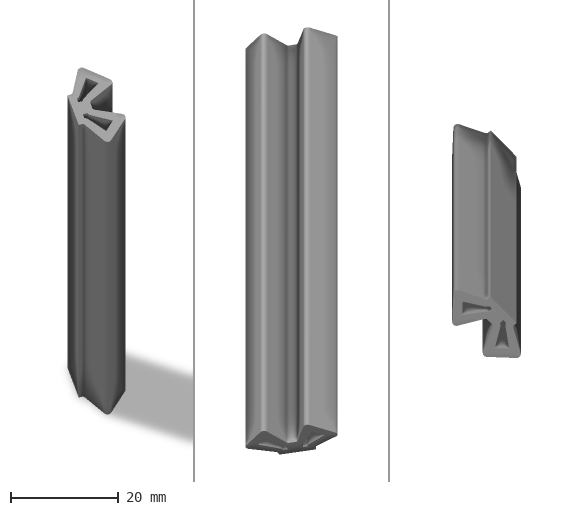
import cadquery as cq
import math

length = 86.5
half_width = 8.85

base_half_width = 3.55
arm_reach = 9.45
flank_angle = 17.5
tip_radius = 0.8
root_radius = 0.5

chamber_inner_reach = 2.05
chamber_inner_width = 1.2
chamber_neck_reach = 3.15
chamber_neck_width = 0.9
chamber_neck_radius = 1.5
chamber_reach = 7.65
chamber_end_width = 2.65

ARM_TILT = 45
DIAGONAL = math.sqrt(0.5)


def swap_across_arm_axis(point):
    """Mirror a left-arm point about the axis y = -x."""
    x, y = point
    return (-y, -x)


def flip_x(point):
    x, y = point
    return (-x, y)


def arm_tip_corner():
    """Sharp corner between arm end and lower flank whose rounding touches x = -half_width."""
    center_x = tip_radius - half_width
    center_y = center_x + (arm_reach - tip_radius) / DIAGONAL
    end_normal = math.radians(180 - ARM_TILT)
    half_turn = math.radians(90 + flank_angle) / 2
    bisector = end_normal + half_turn
    offset = tip_radius / math.cos(half_turn)
    return (center_x + offset * math.cos(bisector), center_y + offset * math.sin(bisector))


def root_corner(tip):
    """Point where the lower flank meets the side wall of the base."""
    slope = math.tan(math.radians(ARM_TILT - flank_angle))
    return (-base_half_width, tip[1] - slope * (-base_half_width - tip[0]))


def extrude_outline(points):
    return cq.Workplane("XY").polyline(points).close().extrude(length)


def round_edges(body, points, radius):
    """Round the lengthwise edges that pass through the given profile points."""
    for point in points:
        selector = cq.selectors.NearestToPointSelector((*point, length / 2))
        body = body.edges("|Z").edges(selector).fillet(radius)
    return body


def make_body():
    lower_tip = arm_tip_corner()
    upper_tip = swap_across_arm_axis(lower_tip)
    lower_root = root_corner(lower_tip)
    upper_root = swap_across_arm_axis(lower_root)
    left_half = [(-base_half_width, 0), lower_root, lower_tip, upper_tip, upper_root]
    right_half = [flip_x(point) for point in reversed(left_half)]
    body = extrude_outline(left_half + right_half)

    tips = [lower_tip, upper_tip]
    roots = [lower_root, upper_root]
    body = round_edges(body, tips + [flip_x(point) for point in tips], tip_radius)
    return round_edges(body, roots + [flip_x(point) for point in roots], root_radius)


def left_arm_point(along, across):
    """Profile point at a distance along the left arm axis, offset towards the base."""
    return (-DIAGONAL * (along + across), DIAGONAL * (along - across))


def make_left_chamber():
    inner_half_width = chamber_inner_width / 2
    inner_corner = left_arm_point(chamber_inner_reach, 0)
    lower_inner = left_arm_point(chamber_inner_reach + inner_half_width, inner_half_width)
    lower_neck = left_arm_point(chamber_neck_reach, chamber_neck_width / 2)
    lower_end = left_arm_point(chamber_reach, chamber_end_width / 2)
    lower_side = [lower_inner, lower_neck, lower_end]
    upper_side = [swap_across_arm_axis(point) for point in reversed(lower_side)]
    chamber = extrude_outline([inner_corner] + lower_side + upper_side)
    necks = [lower_neck, swap_across_arm_axis(lower_neck)]
    return round_edges(chamber, necks, chamber_neck_radius)


left_chamber = make_left_chamber()
right_chamber = left_chamber.mirror("YZ")
result = make_body().cut(left_chamber).cut(right_chamber)